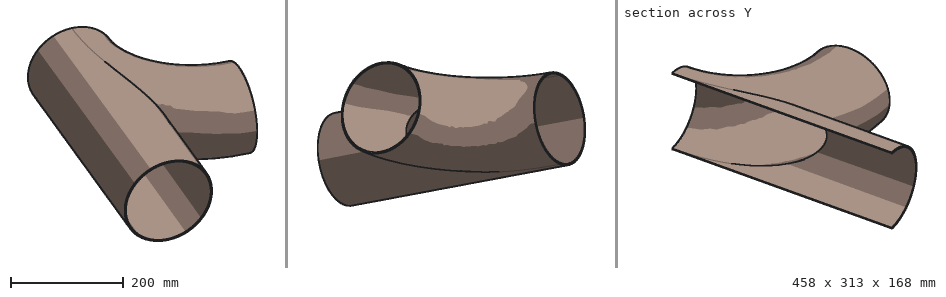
import cadquery as cq

run_length = 458.0
outer_diameter = 168.0
inner_diameter = 162.0
bend_radius = 229.0
bend_angle = 90.0

run_start = -run_length / 2


def start_profile():
    """Pipe ring at the open end shared by the run and the elbow."""
    return (
        cq.Workplane("YZ", origin=(run_start, 0, 0))
        .circle(outer_diameter / 2)
        .circle(inner_diameter / 2)
    )


def branch_side():
    """Block holding everything on the branch side of the seam.

    Run and elbow have equal diameters, so their walls meet where a point is
    equally far from both centrelines: on the parabola y = x^2 / (4 * bend_radius),
    with x measured from the shared end.  A quadratic Bezier curve draws it exactly.
    """
    seam_end_x = run_length
    seam_end_y = seam_end_x**2 / (4 * bend_radius)
    block_top = bend_radius + outer_diameter
    return (
        cq.Workplane("XY", origin=(run_start, 0, 0))
        .moveTo(0, 0)
        .bezier([(0, 0), (seam_end_x / 2, 0), (seam_end_x, seam_end_y)])
        .lineTo(seam_end_x, block_top)
        .lineTo(0, block_top)
        .close()
        .extrude(outer_diameter, both=True)
    )


run = start_profile().extrude(run_length).cut(branch_side())

elbow = (
    start_profile()
    .revolve(bend_angle, (bend_radius, 0, 0), (bend_radius, 1, 0))
    .intersect(branch_side())
)

result = run.union(elbow)